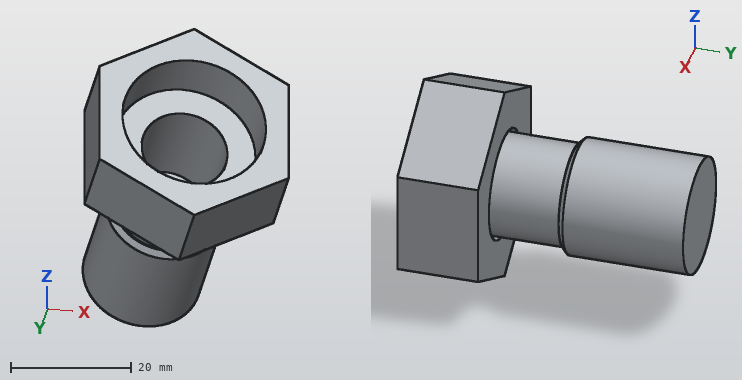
import cadquery as cq
import math

TOTAL_LENGTH = 47.75

NUT_ACROSS_FLATS = 32.0
NUT_LENGTH = 14.0
NUT_BORE_DIAMETER = 24.3
NUT_NECK_HOLE_DIAMETER = 19.0

FLANGE_DIAMETER = 24.0
FLANGE_FACE_DEPTH = 8.8
FLANGE_THICKNESS = 2.5
NECK_DIAMETER = 17.65
TAIL_DIAMETER = 20.0
TAIL_LENGTH = 21.9
TAIL_CHAMFER = 1.0
PASSAGE_DIAMETER = 14.5

FLANGE_BACK = FLANGE_FACE_DEPTH + FLANGE_THICKNESS
TAIL_START = TOTAL_LENGTH - TAIL_LENGTH
PASSAGE_DEPTH = TAIL_START + TAIL_CHAMFER - FLANGE_FACE_DEPTH


def cylinder_along_y(diameter, start, length):
    """Cylinder on the Y axis, growing toward +Y from the given start."""
    plane = cq.Plane(origin=(0, start, 0), xDir=(1, 0, 0), normal=(0, 1, 0))
    return cq.Workplane(plane).circle(diameter / 2).extrude(length)


def make_nut():
    """Hexagon with flats facing +/-X, bored for the flange and then for the neck."""
    across_corners = NUT_ACROSS_FLATS / math.cos(math.pi / 6)
    hexagon = (
        cq.Workplane("XZ")
        .polygon(6, across_corners)
        .extrude(-NUT_LENGTH)
        .rotate((0, 0, 0), (0, 1, 0), 30)
    )
    flange_bore = cylinder_along_y(NUT_BORE_DIAMETER, 0, FLANGE_BACK)
    neck_hole = cylinder_along_y(NUT_NECK_HOLE_DIAMETER, 0, NUT_LENGTH)
    return hexagon.cut(flange_bore).cut(neck_hole)


def make_tail_piece():
    """Flange, neck and chamfered tail, with a blind passage from the flange face."""
    flange = cylinder_along_y(FLANGE_DIAMETER, FLANGE_FACE_DEPTH, FLANGE_THICKNESS)
    neck = cylinder_along_y(NECK_DIAMETER, FLANGE_BACK, TAIL_START - FLANGE_BACK)
    tail = cylinder_along_y(TAIL_DIAMETER, TAIL_START, TAIL_LENGTH)
    tail = tail.faces("<Y").chamfer(TAIL_CHAMFER)
    passage = cylinder_along_y(PASSAGE_DIAMETER, FLANGE_FACE_DEPTH, PASSAGE_DEPTH)
    return flange.union(neck).union(tail).cut(passage)


nut = make_nut()
tail_piece = make_tail_piece()

result = cq.Compound.makeCompound([nut.solids().val(), tail_piece.solids().val()])